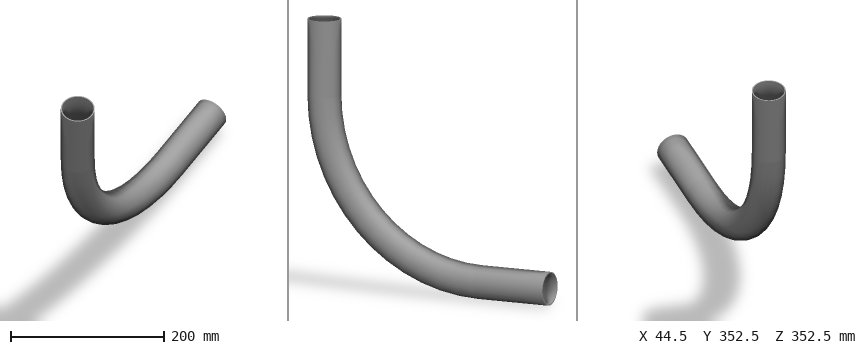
import cadquery as cq

overall_size = 352.5
outer_diameter = 44.5
inner_diameter = 41.2
leg_length = 101.5

centreline_reach = overall_size - outer_diameter / 2
bend_radius = centreline_reach - leg_length


def tube_section():
    """Return the ring-shaped tube section at the bottom of the upright leg."""
    return cq.Workplane("XY").circle(outer_diameter / 2).circle(inner_diameter / 2)


upright_leg = tube_section().extrude(leg_length)

bend = tube_section().revolve(90, (0, bend_radius, 0), (1, bend_radius, 0))

horizontal_leg = (
    tube_section()
    .extrude(leg_length)
    .rotate((0, 0, 0), (1, 0, 0), -90)
    .translate((0, bend_radius, -bend_radius))
)

result = upright_leg.union(bend).union(horizontal_leg)